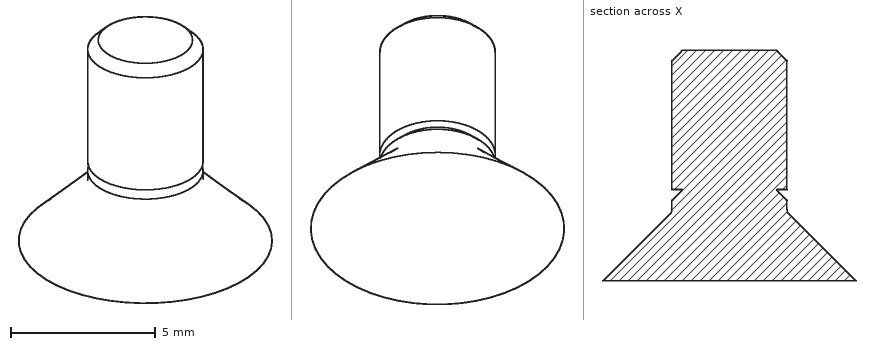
import cadquery as cq
import math

head_radius = 4.395
total_height = 8.0
shank_radius = 2.0
end_chamfer = 0.37
thread_start = 3.165
neck_fillet = 0.2

tip_radius = shank_radius - end_chamfer
runout_start = thread_start - end_chamfer
cone_top = head_radius - shank_radius

arc_center_r = shank_radius + neck_fillet
arc_top = cone_top + neck_fillet * math.tan(math.radians(22.5))


def fillet_point(angle):
    """Point on the fillet arc, with the angle in degrees below the arc top."""
    turn = math.radians(angle)
    return (
        arc_center_r - neck_fillet * math.cos(turn),
        arc_top - neck_fillet * math.sin(turn),
    )


profile = (
    cq.Workplane("XZ")
    .lineTo(head_radius, 0)
    .lineTo(*fillet_point(45))
    .threePointArc(fillet_point(22.5), fillet_point(0))
    .lineTo(shank_radius, runout_start)
    .lineTo(tip_radius, thread_start)
    .lineTo(shank_radius, thread_start)
    .lineTo(shank_radius, total_height - end_chamfer)
    .lineTo(tip_radius, total_height)
    .lineTo(0, total_height)
    .close()
)

result = profile.revolve(360, (0, 0, 0), (0, 1, 0))